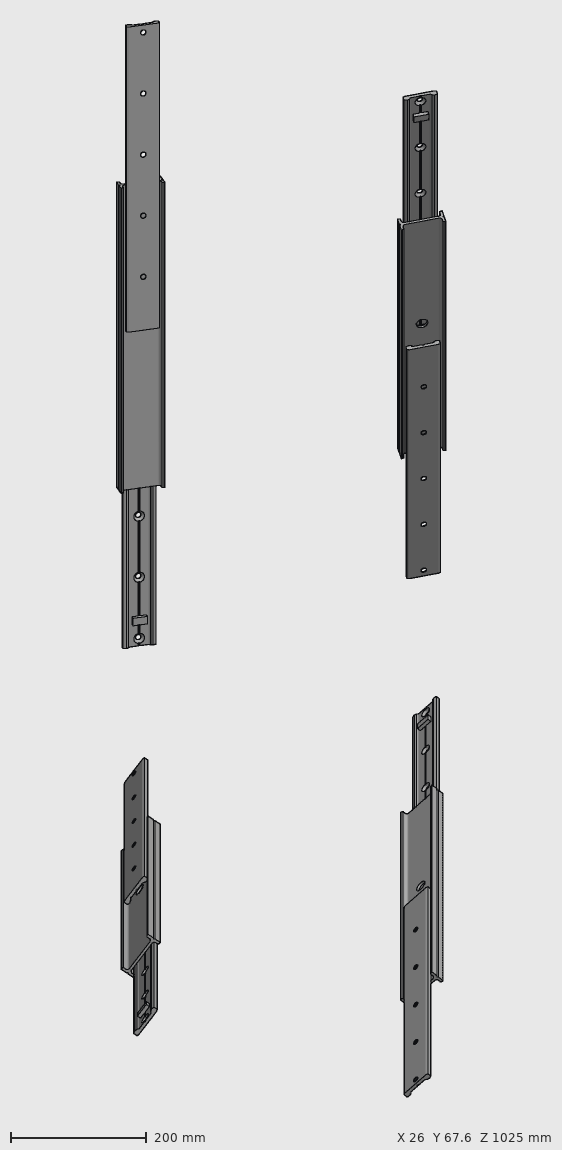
import cadquery as cq

total_height = 1025.0
profile_length = 499.0
half_depth = 26.0 / 2

carrier_depth = 23.0
carrier_channel_width = 59.0
carrier_web = 4.0
carrier_flange = 4.3
carrier_width = carrier_channel_width + 2 * carrier_flange
carrier_inner_radius = 4.0
carrier_mouth_bevel_x = 1.0
carrier_mouth_bevel_y = 2.6
seam_groove_width = 3.0
seam_groove_depth = 1.5
access_hole_diameter = 17.0
access_hole_z = 27.0

rail_width = 51.0
rail_channel_width = 35.0
rail_mouth_x = 4.6
rail_web = 5.0
rail_face_bevel_x = 1.0
rail_tip_bevel_x = 1.0
rail_outer_bevel_y = 3.6
rail_inner_bevel_y = 3.0
rail_corner_radius = 3.6
rail_groove_width = 3.0
rail_groove_depth = 1.0

hole_count = 5
hole_span = 400.0
hole_pitch = hole_span / (hole_count - 1)
hole_end_distance = 12.0
hole_diameter = 8.0
countersink_diameter = 16.0
countersink_depth = (countersink_diameter - hole_diameter) / 2

stop_width = 23.0
stop_height = 12.0
stop_z = 469.0
stop_tip_x = 2.0

carrier_bottom = -profile_length / 2
rail_top = total_height / 2
rail_bottom = rail_top - profile_length
web_inner_x = half_depth - rail_web


def prism(points, bottom):
    """Closed XY outline extruded over one profile length."""
    return cq.Workplane("XY", origin=(0, 0, bottom)).polyline(points).close().extrude(profile_length)


def carrier_channel(side):
    """Full-length channel on the -X (side = -1) or +X (side = 1) face of the carrier."""
    channel_depth = (carrier_depth - carrier_web) / 2
    return (
        cq.Workplane("XY")
        .box(channel_depth, carrier_channel_width, profile_length)
        .edges("|Z and <X" if side > 0 else "|Z and >X")
        .fillet(carrier_inner_radius)
        .translate((side * (carrier_web + channel_depth) / 2, 0, 0))
    )


def carrier_mouth(side):
    """Bevels on the inner edges of the flange tips of one carrier channel."""
    channel_y = carrier_channel_width / 2
    mouth_y = channel_y + carrier_mouth_bevel_y
    tip_x = side * carrier_depth / 2
    bevel_root_x = tip_x - side * carrier_mouth_bevel_x
    points = [
        (tip_x, -mouth_y),
        (tip_x, mouth_y),
        (bevel_root_x, channel_y),
        (bevel_root_x, -channel_y),
    ]
    return prism(points, carrier_bottom)


def seam_groove(side):
    """V-groove along the middle of the -Y or +Y outer face of the carrier."""
    face_y = side * carrier_width / 2
    points = [
        (-seam_groove_width / 2, face_y),
        (seam_groove_width / 2, face_y),
        (0, face_y - side * seam_groove_depth),
    ]
    return prism(points, carrier_bottom)


def make_carrier():
    body = cq.Workplane("XY").box(carrier_depth, carrier_width, profile_length)
    for side in (-1, 1):
        body = body.cut(carrier_channel(side)).cut(carrier_mouth(side)).cut(seam_groove(side))
    access_hole = (
        cq.Workplane("YZ", origin=(-carrier_web / 2, 0, access_hole_z))
        .circle(access_hole_diameter / 2)
        .extrude(carrier_web)
    )
    return body.cut(access_hole)


def rail_blank():
    """Solid bar with its four long edges bevelled."""
    side_y = rail_width / 2
    face_y = side_y - rail_outer_bevel_y
    points = [
        (rail_mouth_x, -face_y),
        (rail_mouth_x + rail_tip_bevel_x, -side_y),
        (half_depth - rail_face_bevel_x, -side_y),
        (half_depth, -face_y),
        (half_depth, face_y),
        (half_depth - rail_face_bevel_x, side_y),
        (rail_mouth_x + rail_tip_bevel_x, side_y),
        (rail_mouth_x, face_y),
    ]
    return prism(points, rail_bottom)


def rail_channel():
    """Channel between the rail flanges, rounded at the web."""
    return (
        cq.Workplane("XY", origin=(web_inner_x / 2, 0, rail_bottom))
        .rect(web_inner_x, rail_channel_width)
        .extrude(profile_length)
        .edges("|Z and >X")
        .fillet(rail_corner_radius)
    )


def rail_mouth():
    """Bevels on the inner edges of the two flange tips."""
    channel_y = rail_channel_width / 2
    mouth_y = channel_y + rail_inner_bevel_y
    points = [
        (rail_mouth_x, -mouth_y),
        (rail_mouth_x, mouth_y),
        (rail_mouth_x + rail_tip_bevel_x, channel_y),
        (rail_mouth_x + rail_tip_bevel_x, -channel_y),
    ]
    return prism(points, rail_bottom)


def rail_groove():
    """Shallow V-groove along the middle of the rail web, inside the channel."""
    points = [
        (web_inner_x, -rail_groove_width / 2),
        (web_inner_x, rail_groove_width / 2),
        (web_inner_x + rail_groove_depth, 0),
    ]
    return prism(points, rail_bottom)


def rail_stop():
    """Stop block, rooted in the web below the groove."""
    root_x = half_depth - rail_web / 2
    return (
        cq.Workplane("XY")
        .box(root_x - stop_tip_x, stop_width, stop_height)
        .translate(((root_x + stop_tip_x) / 2, 0, stop_z))
    )


def countersunk_hole(z):
    drill = cq.Workplane("YZ", origin=(web_inner_x, 0, z)).circle(hole_diameter / 2).extrude(rail_web)
    countersink = cq.Solid.makeCone(
        countersink_diameter / 2,
        hole_diameter / 2,
        countersink_depth,
        pnt=cq.Vector(web_inner_x, 0, z),
        dir=cq.Vector(1, 0, 0),
    )
    return drill.union(cq.Workplane(countersink))


def make_rail():
    """Upper rail, lying in the +X channel of the carrier."""
    rail = rail_blank().cut(rail_channel()).cut(rail_mouth()).cut(rail_groove()).union(rail_stop())
    for i in range(hole_count):
        rail = rail.cut(countersunk_hole(rail_top - hole_end_distance - i * hole_pitch))
    return rail


carrier = make_carrier()

rails = [make_rail().rotate((0, 0, 0), (0, 1, 0), turn) for turn in (0, 180)]

result = cq.Compound.makeCompound([carrier.val(), *[rail.val() for rail in rails]])